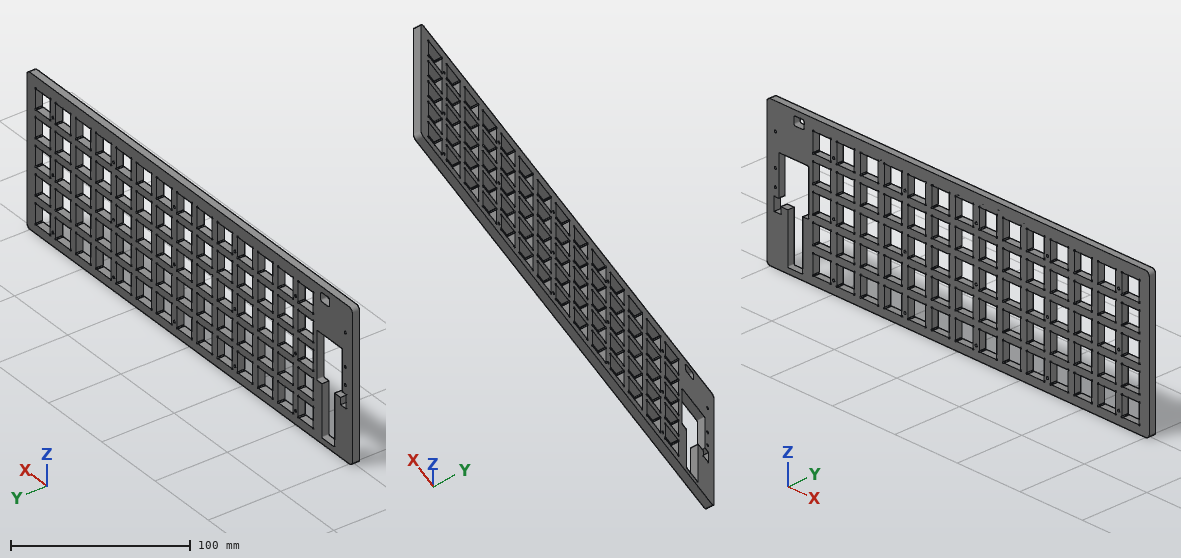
import cadquery as cq

PLATE_WIDTH = 306.0
PLATE_HEIGHT = 104.0
PLATE_THICKNESS = 5.0
PLATE_CORNER_RADIUS = 3.0

KEY_COLUMNS = 14
KEY_ROWS = 5
KEY_PITCH = 19.0
KEY_OPENING = 13.9
KEY_CENTER_INSET = 15.0
CORNER_RELIEF_RADIUS = 0.5
LAST_KEY_X = PLATE_WIDTH - KEY_CENTER_INSET
FIRST_KEY_X = LAST_KEY_X - (KEY_COLUMNS - 1) * KEY_PITCH
TOP_KEY_Z = PLATE_HEIGHT - KEY_CENTER_INSET

SCREW_DIAMETER = 1.6
SCREW_COLUMNS = 5
SCREW_ROWS = 3
SCREW_X_PITCH = 3 * KEY_PITCH
SCREW_Z_PITCH = 2 * KEY_PITCH
FIRST_SCREW_X = FIRST_KEY_X + KEY_PITCH / 2
SCREW_DROP = 4.0
TOP_SCREW_Z = TOP_KEY_Z - SCREW_DROP

BORDER_SCREW_X = 6.8
MIDDLE_BORDER_SCREW_Z = 62.3
LOWER_BORDER_SCREW_Z = 50.3

WINDOW_LEFT = 21.65
WINDOW_WIDTH = 8.2
WINDOW_BOTTOM = 94.0
WINDOW_HEIGHT = 6.15
WINDOW_CORNER_RADIUS = 1.35

BAY_LEFT = 9.6
BAY_RIGHT = 33.5
BAY_BOTTOM = 39.8
BAY_TOP = 72.85
LEG_LEFT = 16.85
LEG_RIGHT = 28.75
LEG_BOTTOM = 4.0
NOTCH_LEFT = 5.9
NOTCH_RIGHT = 11.2
NOTCH_BOTTOM = 35.0
NOTCH_TOP = 44.4
CUTOUT_CORNER_RADIUS = 0.75


def front_sketch():
    """Sketch plane on the front face; its normal is -Y, so negative extrusions run into the plate."""
    return cq.Workplane(cq.Plane(origin=(0, 0, 0), xDir=(1, 0, 0), normal=(0, -1, 0)))


def block(left, bottom, right, top):
    """Rectangular block through the plate thickness."""
    width = right - left
    height = top - bottom
    outline = front_sketch().center(left + width / 2, bottom + height / 2).rect(width, height)
    return outline.extrude(-PLATE_THICKNESS)


def round_holes(points, diameter):
    """Round pins through the plate thickness, used as hole cutters."""
    return front_sketch().pushPoints(points).circle(diameter / 2).extrude(-PLATE_THICKNESS)


def plate_blank():
    return block(0, 0, PLATE_WIDTH, PLATE_HEIGHT).edges("|Y").fillet(PLATE_CORNER_RADIUS)


def key_opening():
    """Square opening centred on the origin, with round reliefs at its corners."""
    half = KEY_OPENING / 2
    corners = [(x, z) for x in (-half, half) for z in (-half, half)]
    return block(-half, -half, half, half).union(round_holes(corners, 2 * CORNER_RELIEF_RADIUS))


def key_openings():
    opening = key_opening().val()
    placed = []
    for column in range(KEY_COLUMNS):
        for row in range(KEY_ROWS):
            x = FIRST_KEY_X + column * KEY_PITCH
            z = TOP_KEY_Z - row * KEY_PITCH
            placed.append(opening.translate(cq.Vector(x, 0, z)))
    return cq.Workplane(cq.Compound.makeCompound(placed))


def screw_holes():
    points = [
        (BORDER_SCREW_X, TOP_SCREW_Z),
        (BORDER_SCREW_X, MIDDLE_BORDER_SCREW_Z),
        (BORDER_SCREW_X, LOWER_BORDER_SCREW_Z),
    ]
    for column in range(SCREW_COLUMNS):
        for row in range(SCREW_ROWS):
            x = FIRST_SCREW_X + column * SCREW_X_PITCH
            z = TOP_SCREW_Z - row * SCREW_Z_PITCH
            points.append((x, z))
    return round_holes(points, SCREW_DIAMETER)


def window():
    right = WINDOW_LEFT + WINDOW_WIDTH
    top = WINDOW_BOTTOM + WINDOW_HEIGHT
    return block(WINDOW_LEFT, WINDOW_BOTTOM, right, top).edges("|Y").fillet(WINDOW_CORNER_RADIUS)


def stepped_cutout():
    bay = block(BAY_LEFT, BAY_BOTTOM, BAY_RIGHT, BAY_TOP)
    bay = bay.edges("|Y").fillet(CUTOUT_CORNER_RADIUS)
    leg = block(LEG_LEFT, LEG_BOTTOM, LEG_RIGHT, BAY_TOP)
    leg = leg.edges("|Y and <Z").fillet(CUTOUT_CORNER_RADIUS)
    notch = block(NOTCH_LEFT, NOTCH_BOTTOM, NOTCH_RIGHT, NOTCH_TOP)
    return bay.union(leg).union(notch)


result = (
    plate_blank()
    .cut(key_openings())
    .cut(screw_holes())
    .cut(window())
    .cut(stepped_cutout())
)